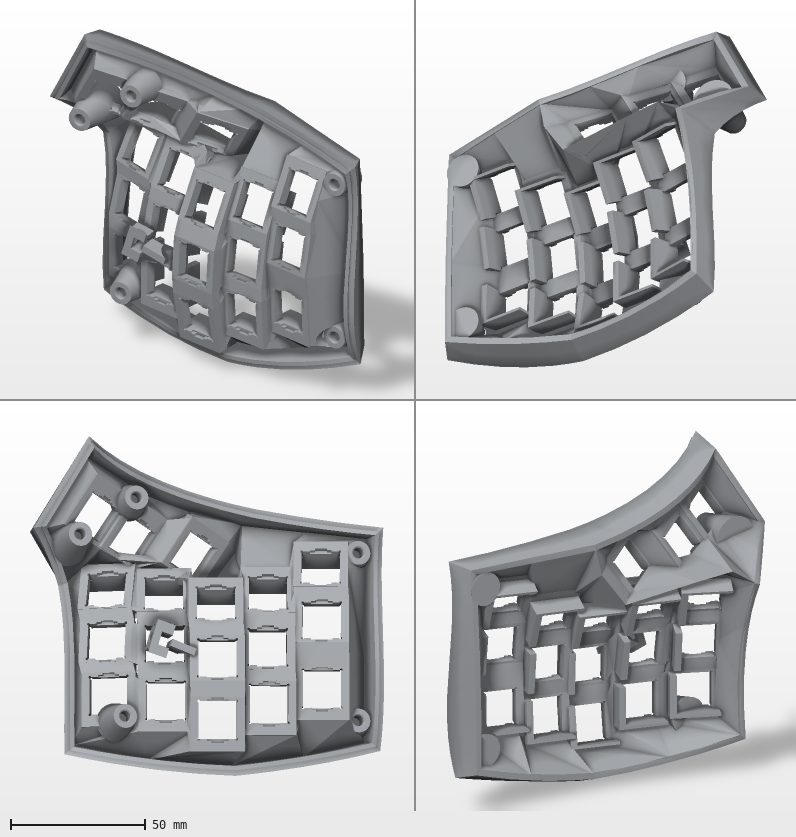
import cadquery as cq
import math


WINDOW = 14.2
PLATE_THICKNESS = 4.0
PLATE_HALF_WIDTH = 10.2
PLATE_HALF_HEIGHT = 8.7
OUTER_ROW_EXTENT = 11.7
WINDOW_CUT_DEPTH = 14.0
RELIEF_DIAMETER = 1.0
NOTCH_WIDTH = 8.0
NOTCH_REACH = 0.6
CLIP_WIDTH = 4.5
CLIP_REACH = 1.4
NOTCH_DEPTH = 1.5
CHEEK_DEPTH = 11.0
JOINT_INSET = 0.5
EDGE_INSET = 0.1

LEDGE_WIDTH = 2.3
WALL_WIDTH = 3.9
LIP_HEIGHT = 1.2
WALL_BACK_WIDTH = 2.4
SKIN_THICKNESS = 2.5
SKIN_INSET = 2.3

BOSS_END_Y = -15.0
BOSS_END_RADIUS = 4.5
BOSS_TAPER = 0.2
BOSS_HOLE_DIAMETER = 4.0
BOSS_HOLE_DEPTH = 6.0
BOSS_HOLE_CHAMFER = 0.5
BOSS_CLEARANCE = 15.0

COLUMNS = [
    (26, [((-35.0, 4.5, 8.8), 28), ((-36.5, -1.3, -11.8), 15), ((-36.5, -4.4, -33.0), 0)]),
    (16, [((-14.8, -3.6, 6.9), 28), ((-16.5, -10.8, -13.6), 14), ((-16.8, -13.2, -35.6), 0)]),
    (15, [((2.3, -14.2, 2.2), 27), ((1.0, -21.2, -20.0), 4), ((1.5, -19.7, -43.3), -11)]),
    (14, [((22.5, -14.0, 7.0), 25), ((21.0, -19.2, -14.6), 8), ((21.2, -20.3, -36.3), -4)]),
    (16, [((42.3, -15.9, 17.4), 26), ((41.2, -21.3, -3.8), 11), ((41.3, -21.5, -29.8), -3)]),
]
THUMB_ACROSS = (0.82, 0.45, -0.35)
THUMB_UP = (0.47, -0.28, 0.84)
THUMB_PLACES = [((-42.3, -7.5, 33.5), 14.0), ((-26.1, -0.1, 26.8), 14.0), ((-2.3, 0.7, 22.2), 12.0)]

SIDES = [
    [
        ((-47.3, -16.3, 62.47), (-47.5, -3.8, 58.9)),
        ((-20.0, -3.6, 50.9), (-20.5, 7.7, 47.2)),
        ((0.0, -1.0, 45.2), (-1.0, 10.2, 41.5)),
    ],
    [
        ((20.5, -2.5, 40.7), (18.5, 11.0, 38.0)),
        ((43.0, -8.0, 36.9), (41.5, 2.1, 35.0)),
    ],
    [
        ((66.5, -15.8, 33.5), (63.3, -6.0, 32.0)),
        ((66.5, -13.6, 20.0), (63.3, -5.0, 19.0)),
        ((66.5, -16.4, -15.0), (63.3, -3.0, -15.0)),
    ],
    [
        ((66.5, -11.5, -50.3), (63.3, -2.5, -47.5)),
        ((40.0, -14.6, -57.5), (39.0, -1.5, -54.0)),
    ],
    [
        ((10.6, -11.5, -62.5), (10.6, -0.5, -58.7)),
        ((-20.0, -4.5, -60.2), (-20.0, 6.0, -56.3)),
    ],
    [
        ((-50.8, 5.5, -54.3), (-48.0, 14.6, -50.3)),
        ((-50.8, 5.2, -30.0), (-47.6, 14.0, -29.0)),
        ((-50.9, 7.3, -4.0), (-47.3, 17.8, -4.5)),
    ],
    [
        ((-52.5, 8.1, 10.0), (-46.7, 25.5, 13.7)),
        ((-54.9, 5.4, 14.6), (-51.0, 20.3, 17.5)),
        ((-58.3, 1.5, 19.7), (-55.6, 14.9, 21.3)),
    ],
    [((-66.44, -8.0, 28.4), (-64.5, 4.0, 29.0))],
]
RIDGE = [(-36.0, 23.0, 20.0), (-22.0, 20.3, 18.0), (7.0, 14.5, 13.0), (16.0, 11.8, 25.7)]

BOSSES = [
    (-50.2, 25.5, 20.0),
    (-28.5, 40.4, 12.0),
    (57.2, 23.7, 10.0),
    (57.2, -39.8, 10.0),
    (-32.9, -42.6, 14.0),
]

CLIP_FRONT_Y = -25.57
CLIP_DEPTH = 7.0
CLIP_CORNER = (-23.2, -7.3)
CLIP_TURN = -16.5
CLIP_LENGTH = 13.2
CLIP_WEB = 2.9
CLIP_ARM = 7.2
CLIP_ARM_WIDTH = 4.0
CLIP_FLARE = 2.0
CLIP_FLARE_DEPTH = 3.3
CLIP_BEND_IN = 1.5
CLIP_BEND_DEPTH = 1.3
CLIP_HOLE_DIAMETER = 4.0
CLIP_HOLE_DEPTH = 3.4

CUT_MARGIN = 1.0

BAR_CORNER = (-17.5, -14.5)
BAR_TURN = -19.5
BAR_LENGTH = 9.8
BAR_WIDTH = 2.8
BAR_BACK_LENGTH = 5.0
BAR_BEND_LENGTH = 6.4
BAR_BEND_DEPTH = 2.8


def vector(point):
    return cq.Vector(*point)


SMALLEST_VOLUME = 1e-3
TETRAHEDRON_PAIRS = ((1, 2), (2, 3), (3, 7), (7, 4), (4, 5), (5, 1))


def tetrahedron(a, b, c, d):
    outlines = ((a, b, c), (a, c, d), (a, d, b), (b, d, c))
    faces = [cq.Face.makeFromWires(cq.Wire.makePolygon(points, close=True)) for points in outlines]
    solid = cq.Solid.makeSolid(cq.Shell.makeShell(faces))
    return solid if solid.Volume() > 0 else cq.Solid(solid.wrapped.Reversed())


def span(start, end):
    """Block between two four-cornered sections, built of tetrahedra so that it may twist.

    The sections may share corners; tetrahedra that become flat are left out.
    """
    corners = list(start) + list(end)
    parts = []
    for i, j in TETRAHEDRON_PAIRS:
        points = (corners[0], corners[i], corners[j], corners[6])
        edge_a, edge_b, edge_c = [point - points[0] for point in points[1:]]
        if abs(edge_a.cross(edge_b).dot(edge_c)) > SMALLEST_VOLUME:
            parts.append(tetrahedron(*points))
    return parts[0].fuse(*parts[1:]).clean()


class Key:
    """One switch plate; local x runs across, y up and z towards the open side."""

    def __init__(self, centre, across, up, top=PLATE_HALF_HEIGHT, bottom=PLATE_HALF_HEIGHT):
        self.plane = cq.Plane(centre, across, vector(across).cross(vector(up)))
        self.top = top
        self.bottom = bottom

    def point(self, x, y, depth):
        return self.plane.toWorldCoords((x, y, -depth))

    def plate(self):
        height = self.top + self.bottom
        middle = (self.top - self.bottom) / 2
        sketch = cq.Workplane(self.plane).center(0, middle).rect(2 * PLATE_HALF_WIDTH, height)
        return sketch.extrude(-PLATE_THICKNESS)

    def cheek(self, x_side, y_side):
        """Wall standing behind the plate along one window side."""
        gap = WINDOW / 2
        half_width, half_height = PLATE_HALF_WIDTH - JOINT_INSET, PLATE_HALF_HEIGHT - JOINT_INSET
        if x_side:
            x, y = x_side * (gap + half_width) / 2, 0
            width, height = half_width - gap, 2 * half_height
        else:
            x, y = 0, y_side * (gap + half_height) / 2
            width, height = 2 * half_width, half_height - gap
        return cq.Workplane(self.plane).center(x, y).rect(width, height).extrude(-CHEEK_DEPTH)

    def window(self):
        corner = WINDOW / 2
        tool = cq.Workplane(self.plane).rect(WINDOW, WINDOW).extrude(-WINDOW_CUT_DEPTH)
        reliefs = cq.Workplane(self.plane).rect(WINDOW, WINDOW, forConstruction=True).vertices()
        tool = tool.union(reliefs.circle(RELIEF_DIAMETER / 2).extrude(-PLATE_THICKNESS))
        for width, reach in ((NOTCH_WIDTH, NOTCH_REACH), (CLIP_WIDTH, CLIP_REACH)):
            notch = cq.Workplane(self.plane).rect(width, 2 * (corner + reach))
            tool = tool.union(notch.extrude(-NOTCH_DEPTH))
        return tool

    def edge(self, x_side, y_side):
        """Front and back skin roots on the plate border; the sides are -1, 0 or 1."""
        half_height = self.top if y_side > 0 else self.bottom
        x, y = x_side * PLATE_HALF_WIDTH, y_side * half_height
        outer_x, outer_y = x - x_side * EDGE_INSET, y - y_side * EDGE_INSET
        front = self.point(outer_x, outer_y, JOINT_INSET)
        back = self.point(x - x_side * SKIN_INSET, y - y_side * SKIN_INSET, PLATE_THICKNESS - JOINT_INSET)
        return front, back


def finger_key(column, row):
    roll, rows = COLUMNS[column]
    centre, pitch = rows[row]
    roll, pitch = math.radians(roll), math.radians(pitch)
    across = (math.cos(roll), -math.sin(roll), 0)
    up = (0, math.sin(pitch), math.cos(pitch))
    top = OUTER_ROW_EXTENT if row == 0 else PLATE_HALF_HEIGHT
    bottom = OUTER_ROW_EXTENT if row == len(rows) - 1 else PLATE_HALF_HEIGHT
    return Key(centre, across, up, top, bottom)


fingers = [[finger_key(column, row) for row in range(3)] for column in range(len(COLUMNS))]
thumbs = [Key(centre, THUMB_ACROSS, THUMB_UP, top) for centre, top in THUMB_PLACES]


def row_bridge(upper, lower):
    """Bar from the lower edge of one plate to the upper edge of the next."""
    sections = []
    for key, y in ((upper, JOINT_INSET - upper.bottom), (lower, lower.top - JOINT_INSET)):
        x = PLATE_HALF_WIDTH
        corners = ((-x, 0), (x, 0), (x, PLATE_THICKNESS), (-x, PLATE_THICKNESS))
        sections.append([key.point(cx, y, depth) for cx, depth in corners])
    return span(*sections)


def column_web(left, right):
    """Slanted web from the right edge of one plate to the left edge of its neighbour."""
    outer = PLATE_HALF_WIDTH - EDGE_INSET
    inner = PLATE_HALF_WIDTH - SKIN_INSET
    sections = []
    for key, front_x, back_x in ((left, inner, outer), (right, -outer, -inner)):
        low, high = JOINT_INSET - key.bottom, key.top - JOINT_INSET
        front, back = JOINT_INSET, PLATE_THICKNESS - JOINT_INSET
        corners = ((front_x, low, front), (front_x, high, front), (back_x, high, back), (back_x, low, back))
        sections.append([key.point(*corner) for corner in corners])
    return span(*sections)


def key_field():
    pieces = []
    for column in fingers:
        pieces += [row_bridge(column[row], column[row + 1]) for row in range(2)]
    for left, right in zip(fingers, fingers[1:]):
        pieces += [column_web(left[row], right[row]) for row in range(3)]
    pieces += [column_web(left, right) for left, right in zip(thumbs, thumbs[1:])]
    for column in fingers:
        pieces += [key.cheek(1, 0).val() for key in column]
        pieces += [column[0].cheek(0, 1).val(), column[-1].cheek(0, -1).val()]
    keys = [key for column in fingers for key in column] + thumbs
    field = keys[0].plate().val().fuse(*[key.plate().val() for key in keys[1:]], *pieces)
    return field.cut(*[key.window().val() for key in keys])


stations = [(vector(rim), vector(back)) for side in SIDES for rim, back in side]


def inward(index):
    """Mitred inward direction in the XZ plane at a station of the outline."""
    here = stations[index][0]
    normals = []
    for a, b in ((stations[index - 1][0], here), (here, stations[(index + 1) % len(stations)][0])):
        run = b - a
        normals.append(cq.Vector(run.z, 0, -run.x).normalized())
    total = normals[0] + normals[1]
    return total * (2 / total.dot(total))


def wall_profile(index):
    rim, back = stations[index]
    into = inward(index)
    lip = (rim - back).normalized() * LIP_HEIGHT
    return [
        back,
        rim,
        rim + into * LEDGE_WIDTH,
        rim + into * LEDGE_WIDTH + lip,
        rim + into * WALL_WIDTH + lip,
        back + into * WALL_BACK_WIDTH,
    ]


def outer_wall():
    profiles = [wall_profile(index) for index in range(len(stations))]
    faces = []
    start = 0
    for side in SIDES:
        chain = [profiles[(start + k) % len(profiles)] for k in range(len(side) + 1)]
        start += len(side)
        edges = []
        for k in range(len(chain[0])):
            points = [profile[k] for profile in chain]
            straight = len(points) == 2
            edges.append(cq.Edge.makeLine(*points) if straight else cq.Edge.makeSpline(points))
        faces += [cq.Face.makeRuledSurface(edges[k - 1], edges[k]) for k in range(len(edges))]
    return cq.Solid.makeSolid(cq.Shell.makeShell(faces))


def wall_root(index):
    """Front and back skin roots, just inside the wall next to its back edge."""
    rim, back = stations[index]
    middle = back + inward(index) * (WALL_BACK_WIDTH - JOINT_INSET)
    towards_rim = (rim - back).normalized()
    return middle + towards_rim * (SKIN_THICKNESS + JOINT_INSET), middle + towards_rim * EDGE_INSET


def ridge_root(point):
    back = vector(point)
    return back - cq.Vector(0, SKIN_THICKNESS, 0), back


def skin(pairs):
    sections = []
    for (plate_front, plate_back), (outer_front, outer_back) in pairs:
        sections.append([plate_front, outer_front, outer_back, plate_back])
    return [span(sections[i - 1], sections[i]) for i in range(len(sections))]


TOP_LEFT, TOP_A, TOP_B, TOP_RIDGE, TOP_C = range(5)
TOP_RIGHT, RIGHT_A, RIGHT_B = range(5, 8)
LOW_RIGHT, LOW_A, LOW_MID, LOW_B = range(8, 12)
LOW_LEFT, LEFT_A, LEFT_B, PEAK, THUMB_A, THUMB_B, THUMB_LOW = range(12, 19)


def thumb_skin():
    first, second, third = thumbs
    ridge = [ridge_root(point) for point in RIDGE]
    return skin([
        (first.edge(-1, 1), wall_root(TOP_LEFT)),
        (first.edge(1, 1), wall_root(TOP_A)),
        (second.edge(1, 1), wall_root(TOP_A)),
        (third.edge(-1, 1), wall_root(TOP_B)),
        (third.edge(1, 1), wall_root(TOP_RIDGE)),
        (third.edge(1, 0), ridge[3]),
        (third.edge(1, -1), ridge[2]),
        (third.edge(-1, -1), ridge[1]),
        (second.edge(0, -1), ridge[1]),
        (first.edge(1, -1), ridge[0]),
        (first.edge(0, -1), wall_root(PEAK)),
        (first.edge(0, -1), wall_root(THUMB_A)),
        (first.edge(-1, -1), wall_root(THUMB_B)),
        (first.edge(-1, 0), wall_root(THUMB_LOW)),
    ])


def finger_skin():
    c1, c2, c3, c4, c5 = fingers
    ridge = [ridge_root(point) for point in RIDGE]
    return skin([
        (c1[0].edge(-1, 1), wall_root(PEAK)),
        (c1[0].edge(1, 1), ridge[0]),
        (c2[0].edge(-1, 1), ridge[0]),
        (c2[0].edge(1, 1), ridge[1]),
        (c3[0].edge(-1, 1), ridge[1]),
        (c3[0].edge(1, 1), ridge[2]),
        (c4[0].edge(-1, 1), ridge[3]),
        (c4[0].edge(1, 1), wall_root(TOP_RIDGE)),
        (c5[0].edge(-1, 1), wall_root(TOP_C)),
        (c5[0].edge(1, 1), wall_root(TOP_RIGHT)),
        (c5[0].edge(1, 0), wall_root(RIGHT_A)),
        (c5[1].edge(1, -1), wall_root(RIGHT_B)),
        (c5[2].edge(1, -1), wall_root(LOW_RIGHT)),
        (c5[2].edge(-1, -1), wall_root(LOW_A)),
        (c4[2].edge(1, -1), wall_root(LOW_A)),
        (c4[2].edge(-1, -1), wall_root(LOW_MID)),
        (c3[2].edge(1, -1), wall_root(LOW_MID)),
        (c3[2].edge(-1, -1), wall_root(LOW_B)),
        (c2[2].edge(1, -1), wall_root(LOW_B)),
        (c2[2].edge(-1, -1), wall_root(LOW_B)),
        (c1[2].edge(1, -1), wall_root(LOW_LEFT)),
        (c1[2].edge(-1, -1), wall_root(LOW_LEFT)),
        (c1[1].edge(-1, 0), wall_root(LEFT_A)),
        (c1[0].edge(-1, 0), wall_root(LEFT_B)),
    ])


def boss(x, z, length):
    base_radius = BOSS_END_RADIUS + BOSS_TAPER * length
    end = cq.Vector(x, BOSS_END_Y, z)
    return cq.Solid.makeCone(BOSS_END_RADIUS, base_radius, length, end, cq.Vector(0, 1, 0))


def boss_clearance(x, z):
    """Room in front of the boss end, so that the screw can reach it."""
    end = cq.Vector(x, BOSS_END_Y, z)
    return cq.Solid.makeCylinder(BOSS_END_RADIUS, BOSS_CLEARANCE, end, cq.Vector(0, -1, 0))


def boss_hole(x, z):
    end = cq.Vector(x, BOSS_END_Y, z)
    axis = cq.Vector(0, 1, 0)
    radius = BOSS_HOLE_DIAMETER / 2
    bore = cq.Solid.makeCylinder(radius, BOSS_HOLE_DEPTH, end, axis)
    mouth = cq.Solid.makeCone(radius + BOSS_HOLE_CHAMFER, radius, BOSS_HOLE_CHAMFER, end, axis)
    return bore.fuse(mouth)


def case():
    bosses = [boss(*place) for place in BOSSES]
    body = key_field().fuse(outer_wall(), *thumb_skin(), *finger_skin(), *bosses)
    cutters = [cutter(x, z) for x, z, length in BOSSES for cutter in (boss_hole, boss_clearance)]
    return body.clean().cut(*cutters)


def turned_plane(corner, degrees):
    """Plane on the open side; local x runs along the arms, y up and z towards the open side."""
    turn = math.radians(degrees)
    return cq.Plane((corner[0], CLIP_FRONT_Y, corner[1]), (math.cos(turn), 0, math.sin(turn)), (0, -1, 0))


def flare_cutter(plane, y_edge, side):
    """Material outside a flared arm: flat at the back, curving out to the arm edge in front."""
    narrow = y_edge - side * CLIP_FLARE
    outside = y_edge + side * CUT_MARGIN
    bend = (y_edge - side * CLIP_BEND_IN, -CLIP_BEND_DEPTH)
    profile = cq.Workplane(cq.Plane(plane.origin, plane.yDir, plane.xDir))
    profile = profile.moveTo(y_edge, 0).threePointArc(bend, (narrow, -CLIP_FLARE_DEPTH))
    profile = profile.lineTo(narrow, -CLIP_DEPTH).lineTo(outside, -CLIP_DEPTH).lineTo(outside, 0).close()
    return profile.extrude(CLIP_ARM + CUT_MARGIN)


def clip():
    plane = turned_plane(CLIP_CORNER, CLIP_TURN)
    inner_low = CLIP_ARM_WIDTH - CLIP_LENGTH
    outline = [
        (0, 0), (CLIP_ARM, 0), (CLIP_ARM, -CLIP_ARM_WIDTH), (CLIP_WEB, -CLIP_ARM_WIDTH),
        (CLIP_WEB, inner_low), (CLIP_ARM, inner_low), (CLIP_ARM, -CLIP_LENGTH), (0, -CLIP_LENGTH),
    ]
    body = cq.Workplane(plane).polyline(outline).close().extrude(-CLIP_DEPTH)
    body = body.cut(flare_cutter(plane, 0, 1)).cut(flare_cutter(plane, -CLIP_LENGTH, -1))
    hole_start = plane.toWorldCoords((-CUT_MARGIN, -CLIP_LENGTH / 2, -CLIP_HOLE_DEPTH))
    hole = cq.Solid.makeCylinder(CLIP_HOLE_DIAMETER / 2, CLIP_WEB + 2 * CUT_MARGIN, hole_start, plane.xDir)
    return body.cut(cq.Workplane(hole))


def bar():
    plane = turned_plane(BAR_CORNER, BAR_TURN)
    side = cq.Plane(plane.origin, plane.xDir, plane.yDir)
    profile = cq.Workplane(side).lineTo(BAR_LENGTH, 0)
    profile = profile.threePointArc((BAR_BEND_LENGTH, BAR_BEND_DEPTH), (BAR_BACK_LENGTH, CLIP_DEPTH))
    return profile.lineTo(0, CLIP_DEPTH).close().extrude(-BAR_WIDTH)


result = cq.Compound.makeCompound([case(), clip().val(), bar().val()])